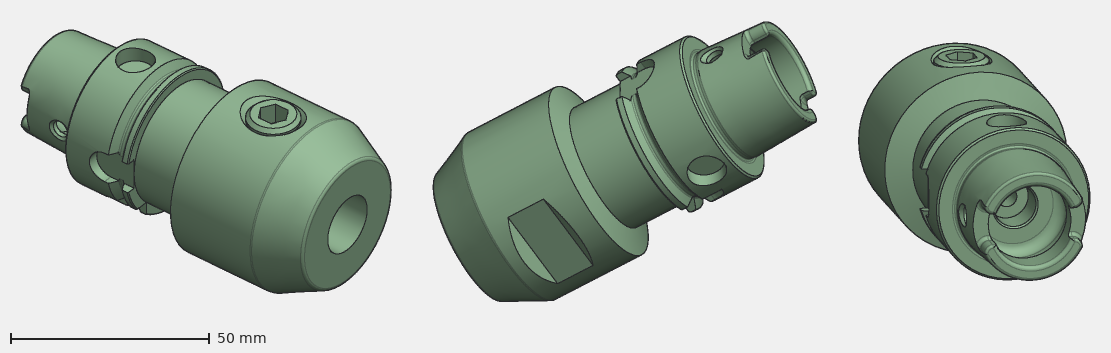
import cadquery as cq
import math


shank_start = -20.0
taper_end = -1.8
flange_length = 20.0
neck_end = 35.0
body_start = 37.0
nose_start = 62.75
nose_end = 75.0

body_radius = 47.5 / 2
flange_radius = 40.0 / 2
neck_radius = 34.0 / 2
taper_radius = 15.08
taper_slope = 1 / 20
shank_tip_radius = taper_radius - (taper_end - shank_start) * taper_slope
relief_radius = 29.8 / 2
relief_start = -1.1
relief_fillet = 0.5
relief_depth = 0.1
relief_face_radius = 15.95
flange_front_chamfer = 0.5
flange_back_chamfer = 0.3
nose_angle = 25.0
nose_fillet = 1.0
tip_fillet = 0.7

groove_center = 15.9
groove_radius = 17.4
groove_half_floor = 0.7
groove_half_angle = 30.0
groove_fillet = 0.5

mouth_radius = 21.0 / 2
mouth_fillet = 1.1
cavity_radius = 25.5 / 2
shoulder_start = -12.1
shoulder_angle = 60.0
cavity_floor = -1.6
cavity_floor_fillet = 2.9

coolant_thread_radius = 10.92 / 2
coolant_thread_depth = 8.0
coolant_chamfer_radius = 11.84 / 2
channel_radius = 5.0 / 2
tool_bore_radius = 16.0 / 2
tool_bore_depth = 49.0

keyway_half_width = 4.05
keyway_flare_radius = 2.1
keyway_flare_start = 10.6
keyway_floor_fillet = 1.0
keyway_front_depth = 3.5
keyway_back_depth = 5.5

access_x = -6.0
access_radius = 4.6 / 2
access_sink_angle = 45.0
access_sink_radius = 3.2
sink_clearance = 1.0

pocket_x = 7.0
pocket_radius = 10.0 / 2
pocket_depth = 4.4
lower_pocket_tilt = 10.0

slot_start = 8.0
slot_floor = neck_radius
front_slot_width = 9.0
back_slot_width = 11.0
notch_offset = 12.0
notch_corner_radius = 4.5

screw_x = 51.2
screw_radius = 14.0 / 2
screw_length = 16.0
screw_chamfer_radius = 11.84 / 2
socket_flats = 7.0
socket_depth = 6.0
drill_tip_half_angle = 59.0
sink_radius = 8.8
balance_half_floor = 5.25
balance_depth = 3.15
balance_half_mouth = 7.9

clearance = 5.0


def tan_deg(angle):
    return math.tan(math.radians(angle))


def turned(points):
    """Revolves an (x, radius) outline about the X axis."""
    return cq.Workplane("XY").polyline(points).close().revolve(360, (0, 0, 0), (1, 0, 0))


def along_x(start, end, radius):
    return cq.Workplane("YZ", origin=(start, 0, 0)).circle(radius).extrude(end - start)


def make_blank():
    """The solid outside shape, turned about X."""
    nose_end_radius = body_radius - (nose_end - nose_start) * tan_deg(nose_angle)
    fillet_start = relief_depth - relief_fillet
    fillet_end_radius = relief_radius + relief_fillet
    fillet_bend = relief_fillet * math.sqrt(0.5)
    outline = (
        cq.Workplane("XY")
        .moveTo(shank_start, 0)
        .lineTo(shank_start, shank_tip_radius)
        .lineTo(taper_end, taper_radius)
        .lineTo(relief_start, relief_radius)
        .lineTo(fillet_start, relief_radius)
        .threePointArc(
            (fillet_start + fillet_bend, fillet_end_radius - fillet_bend),
            (relief_depth, fillet_end_radius),
        )
        .lineTo(0, relief_face_radius)
        .lineTo(0, flange_radius - flange_front_chamfer)
        .lineTo(flange_front_chamfer, flange_radius)
        .lineTo(flange_length - flange_back_chamfer, flange_radius)
        .lineTo(flange_length, flange_radius - flange_back_chamfer)
        .lineTo(flange_length, neck_radius)
        .lineTo(neck_end, neck_radius)
        .lineTo(body_start, body_radius)
        .lineTo(nose_start, body_radius)
        .lineTo(nose_end, nose_end_radius)
        .lineTo(nose_end, 0)
        .close()
    )
    blank = outline.revolve(360, (0, 0, 0), (1, 0, 0))
    blank = blank.faces(">X").edges().fillet(nose_fillet)
    nose_edge = blank.edges(cq.selectors.NearestToPointSelector((nose_start, 0, body_radius)))
    return nose_edge.fillet(nose_fillet)


def make_flange_groove():
    """Ring that cuts the V-groove, with rounded corners at its floor."""
    top_radius = flange_radius + clearance
    half_top = groove_half_floor + (top_radius - groove_radius) * tan_deg(groove_half_angle)
    ring = turned([
        (groove_center - half_top, top_radius),
        (groove_center - groove_half_floor, groove_radius),
        (groove_center + groove_half_floor, groove_radius),
        (groove_center + half_top, top_radius),
    ])
    floor_size = groove_radius + clearance / 2
    floor_edges = ring.edges(
        cq.selectors.BoxSelector(
            (groove_center - 1.5 * groove_half_floor, -floor_size, -floor_size),
            (groove_center + 1.5 * groove_half_floor, floor_size, floor_size),
            boundingbox=True,
        )
    )
    return floor_edges.fillet(groove_fillet)


def make_shank_cavity():
    """Mouth bore that opens over a conical shoulder into a wider chamber with a rounded floor."""
    shoulder_end = shoulder_start + (cavity_radius - mouth_radius) / tan_deg(shoulder_angle)
    bend = math.sqrt(0.5)
    mouth_curve = mouth_radius + mouth_fillet
    fillet_x = cavity_floor - cavity_floor_fillet
    fillet_radius = cavity_radius - cavity_floor_fillet
    outline = (
        cq.Workplane("XY")
        .moveTo(shank_start, 0)
        .lineTo(shank_start, mouth_curve)
        .threePointArc(
            (shank_start + mouth_fillet * (1 - bend), mouth_radius + mouth_fillet * (1 - bend)),
            (shank_start + mouth_fillet, mouth_radius),
        )
        .lineTo(shoulder_start, mouth_radius)
        .lineTo(shoulder_end, cavity_radius)
        .lineTo(fillet_x, cavity_radius)
        .threePointArc(
            (fillet_x + cavity_floor_fillet * bend, fillet_radius + cavity_floor_fillet * bend),
            (cavity_floor, fillet_radius),
        )
        .lineTo(cavity_floor, 0)
        .close()
    )
    return outline.revolve(360, (0, 0, 0), (1, 0, 0))


def make_axial_holes():
    """Coolant thread, coolant channel and tool bore."""
    chamfer = coolant_chamfer_radius - coolant_thread_radius
    thread_end = cavity_floor + coolant_thread_depth
    thread = turned([
        (cavity_floor, 0),
        (cavity_floor, coolant_chamfer_radius),
        (cavity_floor + chamfer, coolant_thread_radius),
        (thread_end, coolant_thread_radius),
        (thread_end, 0),
    ])
    channel = along_x(cavity_floor, nose_end, channel_radius)
    tool_bore = along_x(nose_end - tool_bore_depth, nose_end, tool_bore_radius)
    return thread.union(channel).union(tool_bore)


def make_keyway(side, depth):
    """Cutter for one keyway on the +Y or -Y side: rounded walls that flare outward, rounded floor."""
    flare_y = keyway_flare_start + keyway_flare_radius
    flare_z = keyway_half_width + keyway_flare_radius
    bend = keyway_flare_radius * math.sqrt(0.5)
    outer_y = flange_radius
    outer_z = flare_z + clearance
    cutter = (
        cq.Workplane("YZ", origin=(shank_start - clearance, 0, 0))
        .moveTo(0, -keyway_half_width)
        .lineTo(side * keyway_flare_start, -keyway_half_width)
        .threePointArc(
            (side * (keyway_flare_start + bend), -flare_z + bend),
            (side * flare_y, -flare_z),
        )
        .lineTo(side * flare_y, -outer_z)
        .lineTo(side * outer_y, -outer_z)
        .lineTo(side * outer_y, outer_z)
        .lineTo(side * flare_y, outer_z)
        .lineTo(side * flare_y, flare_z)
        .threePointArc(
            (side * (keyway_flare_start + bend), flare_z - bend),
            (side * keyway_flare_start, keyway_half_width),
        )
        .lineTo(0, keyway_half_width)
        .close()
        .extrude(clearance + depth)
    )
    return cutter.faces(">X").edges().fillet(keyway_floor_fillet)


def make_access_holes():
    """One hole through both walls of the shank, countersunk on the outside."""
    surface_y = taper_radius - (taper_end - access_x) * taper_slope
    sink_depth = (access_sink_radius - access_radius) / tan_deg(access_sink_angle)
    outer_sink = access_sink_radius + sink_clearance * tan_deg(access_sink_angle)
    half = [
        (0, 0),
        (access_radius, 0),
        (access_radius, surface_y - sink_depth),
        (outer_sink, surface_y + sink_clearance),
        (0, surface_y + sink_clearance),
    ]
    one_side = cq.Workplane("XY").polyline(half).close().revolve(360, (0, 0, 0), (0, 1, 0))
    return one_side.union(one_side.mirror("XZ")).translate((access_x, 0, 0))


def make_flange_pocket(angle):
    """Flat-bottomed round pocket, turned about X from the +Z direction."""
    pocket = (
        cq.Workplane("XY", origin=(pocket_x, 0, flange_radius - pocket_depth))
        .circle(pocket_radius)
        .extrude(pocket_depth + clearance)
    )
    return pocket.rotate((0, 0, 0), (1, 0, 0), angle)


def make_drive_slot(side, width):
    """Slot with a rounded end, open towards the neck."""
    half_width = width / 2
    return (
        cq.Workplane("XZ", origin=(0, side * slot_floor, 0))
        .moveTo(flange_length, -half_width)
        .lineTo(slot_start + front_slot_width / 2, -half_width)
        .threePointArc(
            (slot_start, 0),
            (slot_start + front_slot_width / 2, half_width),
        )
        .lineTo(flange_length, half_width)
        .close()
        .extrude(-side * clearance)
    )


def make_orientation_notch():
    """Step cut from the lower front of the flange, with one rounded corner."""
    size = flange_radius - notch_offset + clearance
    length = flange_length - slot_start
    notch = cq.Workplane("XY").box(length, size, size, centered=False)
    notch = notch.translate((slot_start, -notch_offset - size, -notch_offset - size))
    return notch.edges("|Y and <X and >Z").fillet(notch_corner_radius)


def make_screw_hole():
    """Threaded hole into the tool bore, countersunk at the top."""
    sink_depth = sink_radius - screw_radius
    sink_bottom = body_radius - sink_depth
    profile = [
        (0, 0),
        (screw_radius, 0),
        (screw_radius, sink_bottom),
        (sink_radius + clearance, body_radius + clearance),
        (0, body_radius + clearance),
    ]
    hole = cq.Workplane("XZ").polyline(profile).close().revolve(360, (0, 0, 0), (0, 1, 0))
    return hole.translate((screw_x, 0, 0))


def make_balance_groove():
    """Groove with sloping flanks across the bottom of the body."""
    half_length = body_radius
    profile = [
        (screw_x - balance_half_mouth, -body_radius),
        (screw_x - balance_half_floor, -body_radius + balance_depth),
        (screw_x + balance_half_floor, -body_radius + balance_depth),
        (screw_x + balance_half_mouth, -body_radius),
    ]
    return cq.Workplane("XZ").polyline(profile).close().extrude(half_length, both=True)


def make_holder():
    holder = make_blank()
    holder = holder.cut(make_keyway(-1, keyway_front_depth))
    holder = holder.cut(make_keyway(1, keyway_back_depth))
    holder = holder.faces("<X").edges().fillet(tip_fillet)
    holder = holder.cut(make_shank_cavity())
    holder = holder.cut(make_axial_holes())
    holder = holder.cut(make_flange_groove())
    holder = holder.cut(make_access_holes())
    holder = holder.cut(make_flange_pocket(0))
    holder = holder.cut(make_flange_pocket(180 - lower_pocket_tilt))
    holder = holder.cut(make_drive_slot(-1, front_slot_width))
    holder = holder.cut(make_drive_slot(1, back_slot_width))
    holder = holder.cut(make_orientation_notch())
    holder = holder.cut(make_screw_hole())
    return holder.cut(make_balance_groove())


def make_screw():
    """Set screw with a chamfered top and a hexagon socket drilled to a conical bottom."""
    chamfer = screw_radius - screw_chamfer_radius
    screw = (
        cq.Workplane("XY", origin=(screw_x, 0, body_radius - screw_length))
        .circle(screw_radius)
        .extrude(screw_length)
        .faces(">Z")
        .edges()
        .chamfer(chamfer)
    )
    corner_radius = socket_flats / math.sqrt(3)
    socket_bottom = body_radius - socket_depth
    socket = (
        cq.Workplane("XY", origin=(screw_x, 0, socket_bottom))
        .polygon(6, 2 * corner_radius)
        .extrude(socket_depth)
    )
    tip = cq.Workplane(
        cq.Solid.makeCone(
            corner_radius,
            0,
            corner_radius / tan_deg(drill_tip_half_angle),
            pnt=cq.Vector(screw_x, 0, socket_bottom),
            dir=cq.Vector(0, 0, -1),
        )
    )
    return screw.cut(socket).cut(tip)


holder = make_holder()
screw = make_screw()

result = cq.Compound.makeCompound([holder.val(), screw.val()])